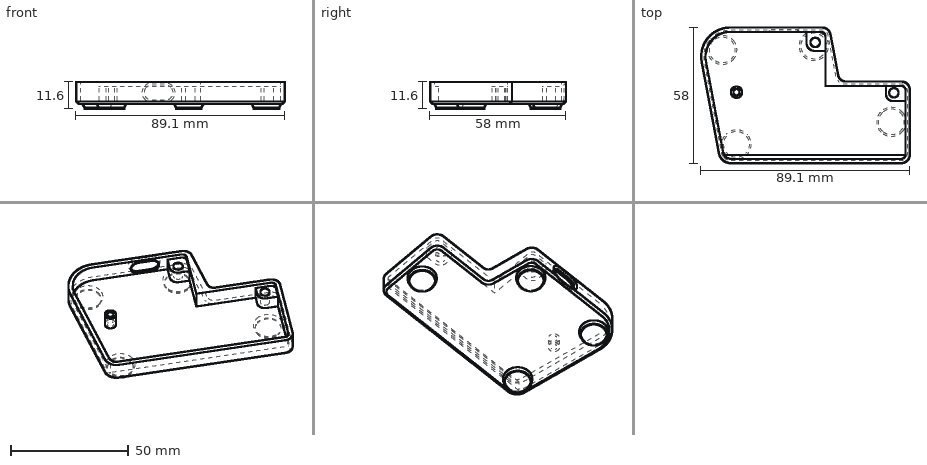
import cadquery as cq
import math

LENGTH = 89.13
DEPTH = 58.02
HEIGHT = 11.6

NOTCH_Y = 35.0
SLANT = math.tan(math.radians(10.7))
REAR_RIGHT_X = 54.7
BIG_RADIUS = 12.5
FRONT_LEFT_RADIUS = 5.3
CORNER_RADIUS = 3.8
NOTCH_RADIUS = 3.0
WALL = 1.9

FOOT_HEIGHT = 2.1
BOTTOM_CHAMFER = 1.15
FLOOR_Z = 3.3
SUPPORT_HEIGHT = 6.25

CAVITY_STEP_X = 53.0
LEDGE_REAR_Y = 3.55

REAR_BOSS = (45.0, 48.0, 48.7, 51.6)
ARM_BOSS = (78.8, 26.5, 82.25, 30.1)
BOSS_RADIUS = 3.3
BOSS_HOLE_DIAMETER = 4.0

POST_CENTRE = (15.1, 30.35)
POST_DIAMETER = 4.81
POST_HOLE_DIAMETER = 2.7

FOOT_DIAMETER = 11.0
FOOT_ROOT_DIAMETER = 12.5
FOOT_RIM_HEIGHT = 0.6
FOOT_CENTRES = [(9.0, 48.4), (48.1, 50.1), (81.2, 17.7), (15.1, 8.1)]

PORT_CENTRE_X = 35.2
PORT_CENTRE_Z = 7.0
PORT_WIDTH = 12.2
PORT_HEIGHT = 6.5
PORT_FLARE = 0.9
PORT_FLARE_ANGLE = 45


def slanted_left_x(y, inset):
    """X of the left slanted wall at a given y, moved inwards by inset."""
    stretch = math.hypot(1, SLANT)
    tangent_x = BIG_RADIUS - BIG_RADIUS * stretch
    return tangent_x + (DEPTH - BIG_RADIUS - y) * SLANT + inset * stretch


def rounded_prism(corners, bottom, top):
    """Extrude a polygon given as (x, y, corner radius); radius 0 keeps a sharp corner."""
    prism = (
        cq.Workplane("XY", origin=(0, 0, bottom))
        .polyline([(x, y) for x, y, _ in corners])
        .close()
        .extrude(top - bottom)
    )
    for x, y, radius in corners:
        if radius > 0:
            nearest = cq.selectors.NearestToPointSelector((x, y, (bottom + top) / 2))
            prism = prism.edges("|Z").edges(nearest).fillet(radius)
    return prism


def make_shell():
    corners = [
        (slanted_left_x(0, 0), 0, FRONT_LEFT_RADIUS),
        (LENGTH, 0, CORNER_RADIUS),
        (LENGTH, NOTCH_Y, CORNER_RADIUS),
        (REAR_RIGHT_X + (DEPTH - NOTCH_Y) * SLANT, NOTCH_Y, NOTCH_RADIUS),
        (REAR_RIGHT_X, DEPTH, CORNER_RADIUS),
        (slanted_left_x(DEPTH, 0), DEPTH, BIG_RADIUS),
    ]
    shell = rounded_prism(corners, FOOT_HEIGHT, HEIGHT)
    return shell.faces("<Z").chamfer(BOTTOM_CHAMFER)


def make_cavity():
    inner_radius = CORNER_RADIUS - WALL
    corners = [
        (slanted_left_x(WALL, WALL), WALL, FRONT_LEFT_RADIUS - WALL),
        (LENGTH - WALL, WALL, inner_radius),
        (LENGTH - WALL, NOTCH_Y - WALL, inner_radius),
        (CAVITY_STEP_X, NOTCH_Y - WALL, 0),
        (CAVITY_STEP_X, DEPTH - WALL, inner_radius),
        (slanted_left_x(DEPTH - WALL, WALL), DEPTH - WALL, BIG_RADIUS - WALL),
    ]
    return rounded_prism(corners, FLOOR_Z, HEIGHT)


def box_between(x0, y0, x1, y1):
    """Block standing on the floor, as tall as the other supports."""
    return (
        cq.Workplane("XY", origin=(0, 0, FLOOR_Z))
        .rect(x1 - x0, y1 - y0, centered=False)
        .extrude(SUPPORT_HEIGHT)
        .translate((x0, y0, 0))
    )


def make_boss(boss, wall_x, wall_y):
    """Boss filling the corner between the walls at wall_x and wall_y."""
    left, front = boss[:2]
    block = box_between(left, front, wall_x, wall_y)
    return block.edges("|Z and <X and <Y").fillet(BOSS_RADIUS)


def cylinder_on_floor(centre, diameter):
    return (
        cq.Workplane("XY", origin=(0, 0, FLOOR_Z))
        .center(*centre)
        .circle(diameter / 2)
        .extrude(SUPPORT_HEIGHT)
    )


def make_foot(centre):
    rim_radius = FOOT_DIAMETER / 2
    profile = [
        (0, 0),
        (rim_radius, 0),
        (rim_radius, FOOT_RIM_HEIGHT),
        (FOOT_ROOT_DIAMETER / 2, FOOT_HEIGHT),
        (0, FOOT_HEIGHT),
    ]
    foot = cq.Workplane("XZ").polyline(profile).close().revolve(360, (0, 0), (0, 1))
    return foot.translate((centre[0], centre[1], 0))


def make_port():
    """Straight opening with a flare that widens towards the outside of the rear wall."""
    outside = cq.Workplane("XZ", origin=(PORT_CENTRE_X, DEPTH, PORT_CENTRE_Z))
    opening = outside.slot2D(PORT_WIDTH, PORT_HEIGHT).extrude(WALL)
    flare = outside.slot2D(PORT_WIDTH + 2 * PORT_FLARE, PORT_HEIGHT + 2 * PORT_FLARE)
    flare = flare.extrude(PORT_FLARE, taper=PORT_FLARE_ANGLE)
    return opening.union(flare)


cavity = make_cavity()
supports = (
    make_boss(REAR_BOSS, CAVITY_STEP_X, DEPTH - WALL)
    .union(make_boss(ARM_BOSS, LENGTH - WALL, NOTCH_Y - WALL))
    .union(box_between(0, 0, LENGTH, LEDGE_REAR_Y))
    .union(cylinder_on_floor(POST_CENTRE, POST_DIAMETER))
    .cut(cylinder_on_floor(POST_CENTRE, POST_HOLE_DIAMETER))
    .cut(cylinder_on_floor(REAR_BOSS[2:], BOSS_HOLE_DIAMETER))
    .cut(cylinder_on_floor(ARM_BOSS[2:], BOSS_HOLE_DIAMETER))
)

result = make_shell().cut(cavity.cut(supports)).cut(make_port())
for foot_centre in FOOT_CENTRES:
    result = result.union(make_foot(foot_centre))